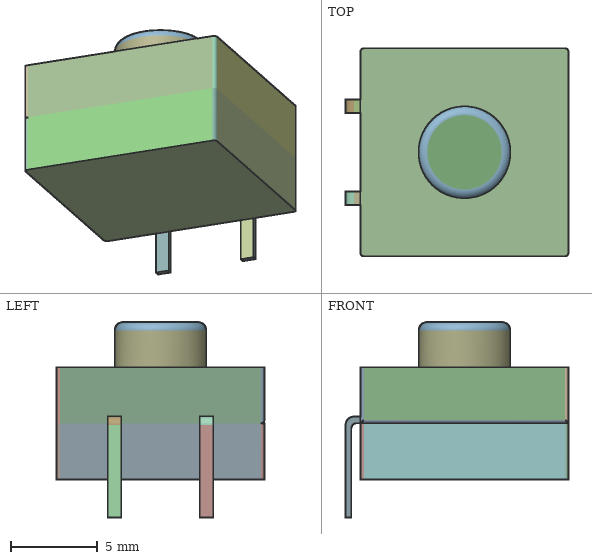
import cadquery as cq

body_width = 12.0
body_height = 6.5
half_height = body_height / 2
edge_radius = 0.2

button_diameter = 5.3
button_height = 2.6
button_rim_radius = 0.5

lead_reach = 0.86
lead_shank_thickness = 0.35
lead_arm_thickness = 0.4
lead_width = 0.8
lead_spacing = 5.3
lead_drop = 2.19
bend_outer_radius = 0.5
bend_inner_radius = 0.3


def make_block(bottom):
    """Half of the housing, with rounded vertical corners."""
    return (
        cq.Workplane("XY")
        .workplane(offset=bottom)
        .rect(body_width, body_width)
        .extrude(half_height)
        .edges("|Z")
        .fillet(edge_radius)
    )


def make_upper_block():
    """Upper half, with the lower edge of its -Y face rounded right across the width."""
    rounded_bar = (
        cq.Workplane("XY")
        .box(body_width, body_width, half_height, centered=(True, True, False))
        .edges("<Y and <Z")
        .fillet(edge_radius)
    )
    return make_block(0).intersect(rounded_bar)


def make_button():
    return (
        cq.Workplane("XY")
        .workplane(offset=half_height)
        .circle(button_diameter / 2)
        .extrude(button_height)
        .faces(">Z")
        .edges()
        .fillet(button_rim_radius)
    )


def make_lead(center_y):
    """Right-angle lead leaving the -X face just above the parting plane."""
    face_x = -body_width / 2
    outer_x = face_x - lead_reach
    inner_x = outer_x + lead_shank_thickness
    tip_z = -half_height - lead_drop
    return (
        cq.Workplane("XZ", origin=(0, center_y, 0))
        .moveTo(face_x, 0)
        .lineTo(inner_x, 0)
        .lineTo(inner_x, tip_z)
        .lineTo(outer_x, tip_z)
        .lineTo(outer_x, lead_arm_thickness)
        .lineTo(face_x, lead_arm_thickness)
        .close()
        .extrude(lead_width / 2, both=True)
        .edges("|Y")
        .edges(cq.selectors.NearestToPointSelector((outer_x, center_y, lead_arm_thickness)))
        .fillet(bend_outer_radius)
        .edges("|Y")
        .edges(cq.selectors.NearestToPointSelector((inner_x, center_y, 0)))
        .fillet(bend_inner_radius)
    )


result = make_block(-half_height).union(make_upper_block(), clean=False)
result = result.union(make_button(), clean=False)
for side in (-1, 1):
    result = result.union(make_lead(side * lead_spacing / 2), clean=False)